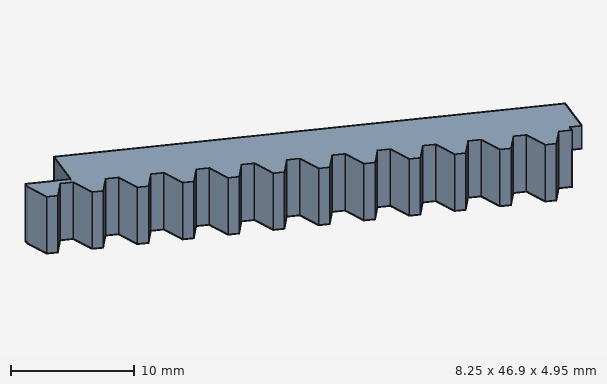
import cadquery as cq

length = 46.85
width = 8.25
height = 4.95

carrier_width = 5.05
carrier_start = 3.85
plate_thickness = 2.0
block_length = 2.95

rack_length = 45.85
tooth_count = 12
tooth_height = 2.5
tooth_root = 2.7
tooth_tip = 0.95
first_tooth_center = 1.4
last_tooth_center = 43.35
tooth_pitch = (last_tooth_center - first_tooth_center) / (tooth_count - 1)
root_x = width - tooth_height


def make_box(x_start, x_end, y_start, y_end, z_start):
    """Box between the given limits, reaching up to the top face."""
    size = (x_end - x_start, y_end - y_start, height - z_start)
    return cq.Workplane("XY").box(*size, centered=False).translate((x_start, y_start, z_start))


def make_rack():
    """Strip outline with trapezoidal teeth, extruded to full height."""
    outline = [(carrier_width, 0)]
    for index in range(tooth_count):
        center = first_tooth_center + index * tooth_pitch
        outline += [
            (root_x, center - tooth_root / 2),
            (width, center - tooth_tip / 2),
            (width, center + tooth_tip / 2),
            (root_x, center + tooth_root / 2),
        ]
    outline += [(root_x, rack_length), (carrier_width, rack_length)]
    return cq.Workplane("XY").polyline(outline).close().extrude(height)


plate = make_box(0, carrier_width, carrier_start, length, height - plate_thickness)
block = make_box(0, carrier_width, carrier_start, carrier_start + block_length, 0)
result = plate.union(block).union(make_rack())